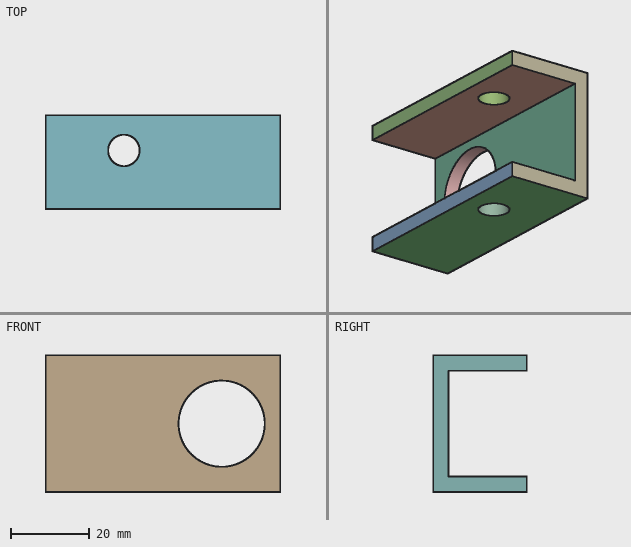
import cadquery as cq

length = 60.0
depth = 24.0
height = 35.0
wall = 4.0

bore_diameter = 22.0
bore_x = 45.0
bore_z = height / 2

pin_diameter = 8.0
pin_x = 20.0
pin_y = 15.0


def make_channel():
    """U-shaped channel, open toward +Y and at both ends along X."""
    block = cq.Workplane("XY").box(length, depth, height, centered=False)
    cavity = (
        cq.Workplane("XY")
        .box(length, depth - wall, height - 2 * wall, centered=False)
        .translate((0, wall, wall))
    )
    return block.cut(cavity)


def make_web_bore():
    """Cylinder along Y spanning the web thickness."""
    bore = cq.Workplane("XZ").center(bore_x, bore_z).circle(bore_diameter / 2)
    return bore.extrude(-wall)


def make_pin_hole():
    """Cylinder along Z spanning both flanges."""
    pin = cq.Workplane("XY").center(pin_x, pin_y).circle(pin_diameter / 2)
    return pin.extrude(height)


result = make_channel().cut(make_web_bore()).cut(make_pin_hole())